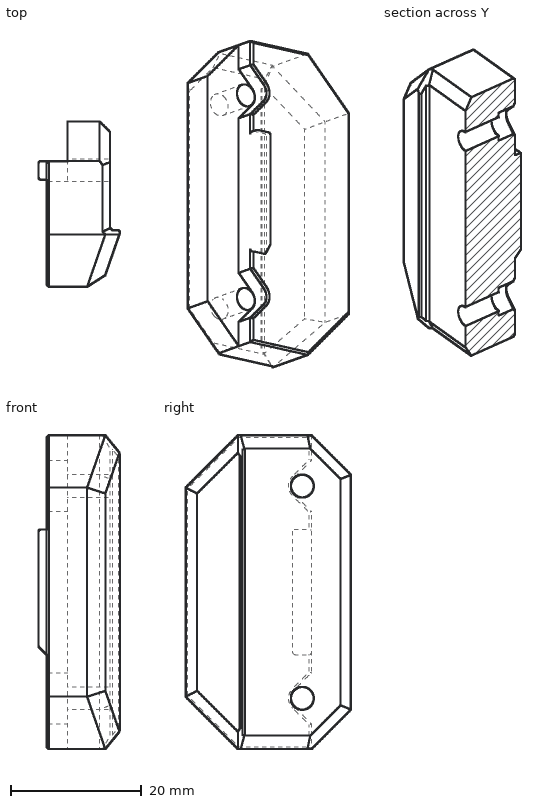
import cadquery as cq
import math

height = 48.0
width = 25.3
front_corner = 8.0
rear_corner = 6.05
half_height = height / 2
shelf_y = width - rear_corner

shelf_depth = 3.15
flat_depth = 9.7
lip_depth = 11.25

rear_bevel = 1.6
end_bevel_depth = 1.15
end_bevel_height = 2.05

side_bevel_start = 6.2
side_bevel_end = 9.0
side_bevel_y = 1.8
back_slope = (side_bevel_end - side_bevel_start) / front_corner
lip_crest_y = side_bevel_y + (lip_depth - side_bevel_end) / back_slope
lip_wall_y = 8.7
lip_tip_chamfer = 0.25
lip_foot_chamfer = 0.4
lip_end_drop = 2.8

plate_chamfer = 0.35
hole_radius = 1.75
hole_y = 17.85
hole_z = 16.2
notch_radius = 1.8

tab_height = 1.25
tab_width = 2.9
tab_length = 19.2
tab_fillet = 0.4
tab_root = shelf_depth / 2

oversize = 3 * height


def trim(body, point, normal):
    """Remove everything on the outer side of a plane."""
    plane = cq.Plane(origin=point, normal=normal)
    block = cq.Workplane(plane).box(oversize, oversize, oversize, centered=(True, True, False))
    return body.cut(block)


def trim_both_ends(body, point, normal):
    """Trim at the +Z end and, mirrored, at the -Z end."""
    for side in (1, -1):
        body = trim(body, (point[0], point[1], side * point[2]), (normal[0], normal[1], side * normal[2]))
    return body


def octagon_block(depth):
    """Octagonal outline extruded from the plate face."""
    front_z = half_height - front_corner
    rear_z = half_height - rear_corner
    outline = [
        (0, -front_z), (0, front_z), (front_corner, half_height), (shelf_y, half_height),
        (width, rear_z), (width, -rear_z), (shelf_y, -half_height), (front_corner, -half_height),
    ]
    return cq.Workplane("YZ").polyline(outline).close().extrude(depth)


def profile_block(points):
    """Profile in the XY plane extruded over the full height."""
    return cq.Workplane("XY").workplane(offset=-half_height).polyline(points).close().extrude(height)


def flat_body():
    """Region with the flat back, bevelled towards the +Y side and both ends."""
    front_y = lip_wall_y - lip_foot_chamfer
    profile = profile_block([
        (0, front_y), (flat_depth, front_y), (flat_depth, width - rear_bevel),
        (flat_depth - rear_bevel, width), (0, width),
    ])
    body = octagon_block(flat_depth).intersect(profile)
    corner_point = (flat_depth - rear_bevel, shelf_y, half_height)
    body = trim_both_ends(body, corner_point, (math.sqrt(2), 1, 1))
    end_point = (flat_depth - end_bevel_depth, shelf_y, half_height)
    return trim_both_ends(body, end_point, (end_bevel_height, 0, end_bevel_depth))


def sloped_body():
    """Region with the sloped back and its lip, bevelled at both ends."""
    foot_depth = flat_depth + lip_foot_chamfer
    profile = profile_block([
        (0, 0), (side_bevel_start, 0), (side_bevel_end, side_bevel_y), (lip_depth, lip_crest_y),
        (lip_depth, lip_wall_y - lip_tip_chamfer), (lip_depth - lip_tip_chamfer, lip_wall_y),
        (foot_depth, lip_wall_y), (0, lip_wall_y + foot_depth),
    ])
    body = octagon_block(lip_depth).intersect(profile)
    ridge_point = (side_bevel_end, front_corner, half_height)
    ridge = cq.Vector(lip_depth - side_bevel_end, 0, -lip_end_drop)
    corner_edge = cq.Vector(back_slope, 1, 1)
    corner_normal = ridge.cross(corner_edge).toTuple()
    body = trim_both_ends(body, ridge_point, corner_normal)
    lip_normal = ridge.cross(cq.Vector(-1, 1, 0)).toTuple()
    return trim_both_ends(body, ridge_point, lip_normal)


def shelf_cut():
    """Space above the shelf: the +Y strip plus a V-notch with a round root around each hole."""
    space = cq.Workplane("YZ").rect(rear_corner, height).extrude(shelf_depth)
    space = space.translate((0, shelf_y + rear_corner / 2, 0))
    tangent = notch_radius / math.sqrt(2)
    reach = rear_corner
    for z in (hole_z, -hole_z):
        notch = (
            cq.Workplane("YZ", origin=(0, hole_y, z))
            .moveTo(-tangent, tangent)
            .lineTo(-tangent + reach, tangent + reach)
            .lineTo(-tangent + reach, -tangent - reach)
            .lineTo(-tangent, -tangent)
            .threePointArc((-notch_radius, 0), (-tangent, tangent))
            .close().extrude(shelf_depth)
        )
        space = space.union(notch)
    return space


def screw_holes():
    """Through holes along X, one near each end."""
    return (
        cq.Workplane("YZ").pushPoints([(hole_y, hole_z), (hole_y, -hole_z)])
        .circle(hole_radius).extrude(lip_depth)
    )


def tab():
    """Rounded rail flush with the plate's +Y edge, with a 45 degree lower end."""
    bar = (
        cq.Workplane("XY").box(tab_height + tab_root, tab_width, tab_length, centered=False)
        .translate((-tab_height, shelf_y - tab_width, -tab_length / 2))
        .edges("<X and <Z").chamfer(tab_height)
    )
    return bar.edges("not(>X)").fillet(tab_fillet)


body = flat_body().union(sloped_body()).cut(shelf_cut())
body = body.faces("<X").chamfer(plate_chamfer)
result = body.union(tab()).cut(screw_holes())